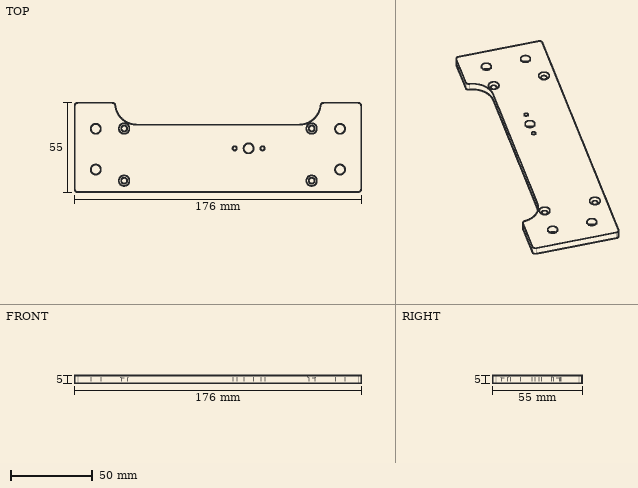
import cadquery as cq

LENGTH = 176.0
WIDTH = 55.0
THICKNESS = 5.0
CORNER_RADIUS = 2.0

NOTCH_HALF_LENGTH = 63.0
NOTCH_DEPTH = 13.4
NOTCH_RADIUS = 13.0

MOUNT_DIAMETER = 6.0
MOUNT_X = 75.0
MOUNT_FRONT_OFFSET = 13.9
MOUNT_SPACING = 25.0

SCREW_DIAMETER = 3.5
SCREW_HEAD_DIAMETER = 6.5
SCREW_HEAD_ANGLE = 90.0
SCREW_X = 57.5
SCREW_FRONT_OFFSET = 7.0
SCREW_SPACING = 32.0

CENTRE_DIAMETER = 6.0
CENTRE_X = 18.8
CENTRE_FRONT_OFFSET = 27.0
PIN_DIAMETER = 2.5
PIN_SPACING = 17.0

FRONT_Y = -WIDTH / 2
BACK_Y = WIDTH / 2


def four_hole_points(x, front_offset, spacing):
    """Points mirrored about the YZ plane, in a front and a back row."""
    front_row = FRONT_Y + front_offset
    return [(sign * x, y) for sign in (-1, 1) for y in (front_row, front_row + spacing)]


def make_plate():
    """Rectangular plate with rounded corners and a recess in its back edge."""
    plate = cq.Workplane("XY").box(LENGTH, WIDTH, THICKNESS, centered=(True, True, False))
    notch = (
        cq.Workplane("XY")
        .center(0, BACK_Y)
        .rect(2 * NOTCH_HALF_LENGTH, 2 * NOTCH_DEPTH)
        .extrude(THICKNESS)
        .edges("|Z")
        .fillet(NOTCH_RADIUS)
    )
    plate = plate.cut(notch)
    corners = [(sign * LENGTH / 2, y) for sign in (-1, 1) for y in (FRONT_Y, BACK_Y)]
    corners += [(sign * NOTCH_HALF_LENGTH, BACK_Y) for sign in (-1, 1)]
    for x, y in corners:
        corner_edge = cq.NearestToPointSelector((x, y, THICKNESS / 2))
        plate = plate.edges(corner_edge).fillet(CORNER_RADIUS)
    return plate


def drill_points(plate, points):
    """Put hole centres on the top face."""
    return plate.faces(">Z").workplane(origin=(0, 0, THICKNESS)).pushPoints(points)


mount_points = four_hole_points(MOUNT_X, MOUNT_FRONT_OFFSET, MOUNT_SPACING)
screw_points = four_hole_points(SCREW_X, SCREW_FRONT_OFFSET, SCREW_SPACING)
centre_y = FRONT_Y + CENTRE_FRONT_OFFSET
pin_points = [(CENTRE_X + sign * PIN_SPACING / 2, centre_y) for sign in (-1, 1)]

result = make_plate()
result = drill_points(result, mount_points).hole(MOUNT_DIAMETER)
result = drill_points(result, screw_points).cskHole(SCREW_DIAMETER, SCREW_HEAD_DIAMETER, SCREW_HEAD_ANGLE)
result = drill_points(result, [(CENTRE_X, centre_y)]).hole(CENTRE_DIAMETER)
result = drill_points(result, pin_points).hole(PIN_DIAMETER)